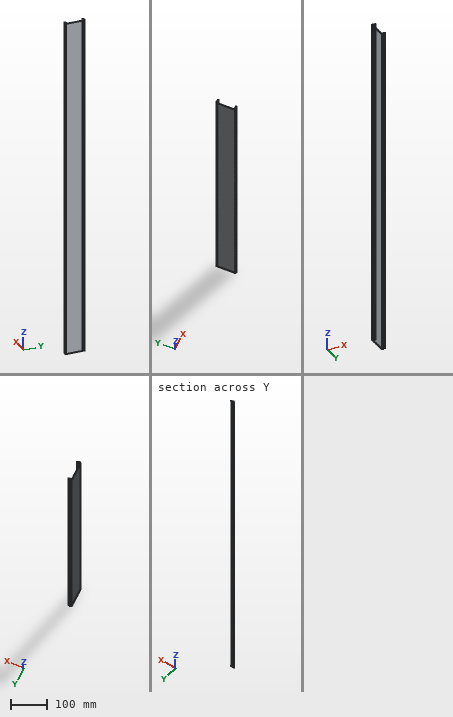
import cadquery as cq

length = 1000.0
width = 60.0
depth = 11.0
wall = 1.0
bead_height = 2.0
bead_start = 2.0
bead_width = 4.0
hem_height = 3.0
hem_start = 3.0

half_width = width / 2
leg_face = half_width - bead_height
hem_face = leg_face - hem_height
fold_radius = hem_height / 2
web_face = -depth / 2
free_edge = web_face + depth
fold_x = free_edge - fold_radius
fold_y = leg_face - fold_radius
bead_x = web_face + bead_start
hem_x = web_face + hem_start


def flange():
    """Flange on the +Y side: a leg with an outward bead, folded back inward at its free edge."""
    section = (
        cq.Workplane("XY")
        .moveTo(web_face, leg_face)
        .lineTo(bead_x, leg_face)
        .lineTo(bead_x + bead_width / 2, half_width)
        .lineTo(bead_x + bead_width, leg_face)
        .lineTo(fold_x, leg_face)
        .threePointArc((free_edge, fold_y), (fold_x, hem_face))
        .lineTo(hem_x, hem_face)
        .lineTo(hem_x, hem_face + wall)
        .lineTo(fold_x, hem_face + wall)
        .threePointArc((free_edge - wall, fold_y), (fold_x, leg_face - wall))
        .lineTo(web_face, leg_face - wall)
        .close()
    )
    return section.extrude(length / 2, both=True)


web = cq.Workplane("XY").box(wall, 2 * leg_face, length).translate((web_face + wall / 2, 0, 0))
upper_flange = flange()
lower_flange = upper_flange.mirror("XZ")
result = web.union(upper_flange).union(lower_flange)